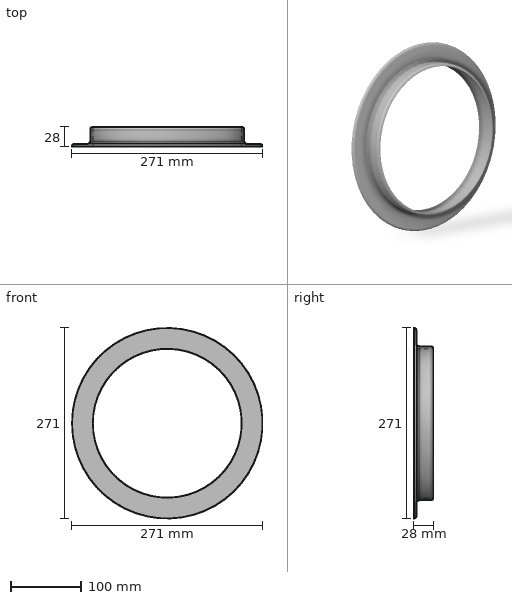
import cadquery as cq

flange_diameter = 271.0
bore_diameter = 211.0
hub_diameter = 219.5
total_depth = 28.0
flange_thickness = 3.8
hub_edge_radius = 4.0
root_fillet_radius = 3.8
flange_edge_radius = 3.5

flange_radius = flange_diameter / 2
bore_radius = bore_diameter / 2
hub_radius = hub_diameter / 2

section = (
    cq.Workplane("XY")
    .moveTo(-bore_radius, 0)
    .lineTo(-flange_radius, 0)
    .lineTo(-flange_radius, flange_thickness - flange_edge_radius)
    .tangentArcPoint((-flange_radius + flange_edge_radius, flange_thickness), relative=False)
    .lineTo(-hub_radius - root_fillet_radius, flange_thickness)
    .tangentArcPoint((-hub_radius, flange_thickness + root_fillet_radius), relative=False)
    .lineTo(-hub_radius, total_depth - hub_edge_radius)
    .tangentArcPoint((-hub_radius + hub_edge_radius, total_depth), relative=False)
    .lineTo(-bore_radius, total_depth)
    .close()
)

result = section.revolve(360, (0, 0, 0), (0, 1, 0))